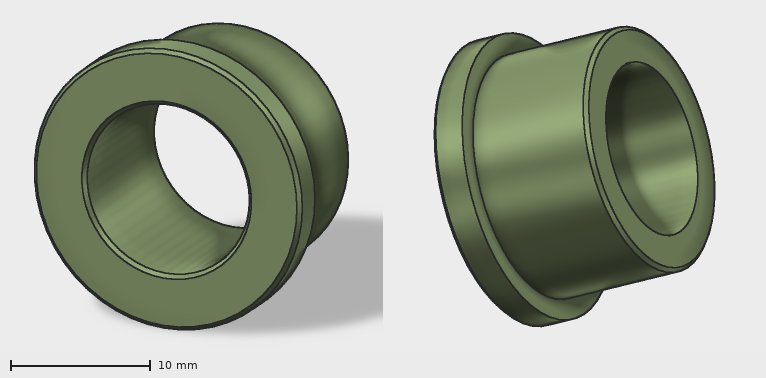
import cadquery as cq

flange_diameter = 21.0
body_diameter = 18.0
bore_diameter = 12.7
total_length = 12.0
flange_thickness = 2.5
edge_chamfer = 0.3


def cylinder_along_y(diameter, length):
    """Solid cylinder starting at Y = 0 and running toward +Y."""
    return cq.Workplane("XZ").circle(diameter / 2).extrude(-length)


flange = cylinder_along_y(flange_diameter, flange_thickness).faces("<Y").edges().chamfer(edge_chamfer)

body = cylinder_along_y(body_diameter, total_length).faces(">Y").edges().chamfer(edge_chamfer)

bore = cylinder_along_y(bore_diameter, total_length)
bushing = flange.union(body).cut(bore)
bore_mouth = cq.selectors.RadiusNthSelector(0)
result = bushing.faces("<Y").edges(bore_mouth).chamfer(edge_chamfer)